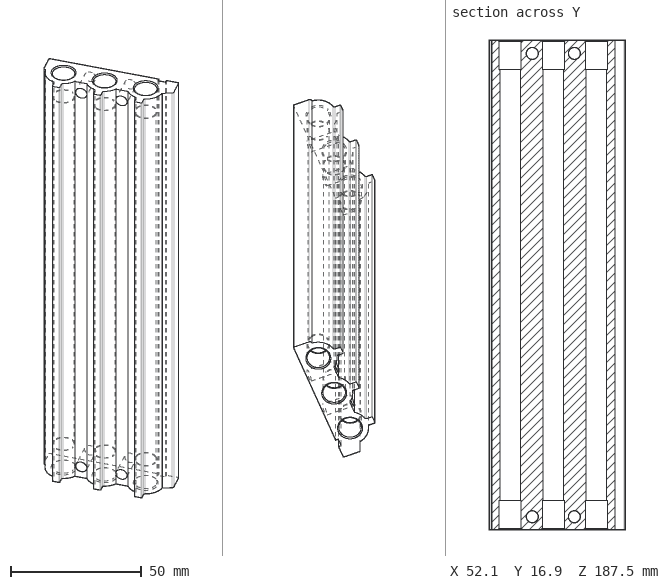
import cadquery as cq

length = 187.5
width = 52.1
depth = 16.9
back_corner_radius = 0.4

tube_count = 3
tube_pitch = 16.5
first_tube_offset = 8.0
tube_axis_depth = 7.1
tube_radius = 7.1
bore_diameter = 8.0
port_diameter = 8.6
port_depth = 11.2
port_chamfer = 0.47

rib_width = 3.0
rib_root_radius = 0.5
rib_tip_radius = 0.28
web_thickness = 11.2

shoulder_thickness = 7.3
shoulder_corner_radius = 0.79

flange_edge_thickness = 7.0
flange_root_thickness = 8.5
flange_corner_radius = 0.79

groove_width = 3.0
groove_depth = 1.1
groove_offset = 5.0

hole_diameter = 4.5
hole_spacing = 16.1
hole_end_distance = 5.0

left = -width / 2
right = width / 2
back = depth / 2
front = -depth / 2
top = length / 2
bottom = -length / 2
tube_y = back - tube_axis_depth
web_y = back - web_thickness
tube_xs = [left + first_tube_offset + i * tube_pitch for i in range(tube_count)]
middle_tube_x = tube_xs[tube_count // 2]


def box_between(x_min, x_max, y_min, y_max):
    """Full-length box between the given X and Y limits."""
    centre = ((x_min + x_max) / 2, (y_min + y_max) / 2, 0)
    return cq.Workplane("XY", origin=centre).box(x_max - x_min, y_max - y_min, length)


def cylinder_along_z(x, diameter, z_start, height):
    """Cylinder on a tube axis."""
    return cq.Workplane("XY", origin=(x, tube_y, z_start)).circle(diameter / 2).extrude(height)


def round_edge(solid, x, y, radius):
    """Fillet the lengthwise edge nearest to the given X and Y."""
    nearest = cq.selectors.NearestToPointSelector((x, y, 0))
    return solid.edges("|Z").edges(nearest).fillet(radius)


def make_plate():
    """Flat-backed plate with the shoulder at its left and the tapered flange at its right."""
    shoulder_y = back - shoulder_thickness
    flange_edge_y = back - flange_edge_thickness
    flange_root_y = back - flange_root_thickness
    plate = (
        cq.Workplane("XY", origin=(0, 0, bottom))
        .moveTo(left, back)
        .lineTo(right, back)
        .lineTo(right, flange_edge_y)
        .lineTo(tube_xs[-1] + tube_radius, flange_root_y)
        .lineTo(tube_xs[-1], flange_root_y)
        .lineTo(tube_xs[-1], web_y)
        .lineTo(tube_xs[0], web_y)
        .lineTo(tube_xs[0], shoulder_y)
        .lineTo(left, shoulder_y)
        .close()
        .extrude(length)
    )
    plate = round_edge(plate, left, back, back_corner_radius)
    plate = round_edge(plate, right, back, back_corner_radius)
    plate = round_edge(plate, left, shoulder_y, shoulder_corner_radius)
    return round_edge(plate, right, flange_edge_y, flange_corner_radius)


def make_tube(x):
    """Solid tube with its rib, blended at the root and rounded at the tip."""
    rib = box_between(x - rib_width / 2, x + rib_width / 2, front, tube_y)
    rib = rib.edges("|Z and <Y").fillet(rib_tip_radius)
    tube = cylinder_along_z(x, 2 * tube_radius, bottom, length).union(rib)
    root_y = tube_y - (tube_radius ** 2 - (rib_width / 2) ** 2) ** 0.5
    for side in (-1, 1):
        tube = round_edge(tube, x + side * rib_width / 2, root_y, rib_root_radius)
    return tube


def make_bore(x):
    """Through bore with a wider, chamfered port at each end."""
    port = cylinder_along_z(x, port_diameter, top - port_depth, port_depth)
    mouth = (
        cq.Workplane("XY", origin=(x, tube_y, top))
        .circle(port_diameter / 2 + port_chamfer)
        .workplane(offset=-port_chamfer)
        .circle(port_diameter / 2)
        .loft()
    )
    top_port = port.union(mouth)
    bottom_port = top_port.mirror("XY")
    return cylinder_along_z(x, bore_diameter, bottom, length).union(top_port).union(bottom_port)


def make_mounting_hole(x, z):
    """Hole through the web along Y."""
    return cq.Workplane("XZ", origin=(x, back, z)).circle(hole_diameter / 2).extrude(depth)


result = make_plate()
for tube_x in tube_xs:
    result = result.union(make_tube(tube_x))
for tube_x in tube_xs:
    result = result.cut(make_bore(tube_x))

groove_right = right - groove_offset
result = result.cut(box_between(groove_right - groove_width, groove_right, back - groove_depth, back))

for side in (-1, 1):
    hole_x = middle_tube_x + side * hole_spacing / 2
    for hole_z in (bottom + hole_end_distance, top - hole_end_distance):
        result = result.cut(make_mounting_hole(hole_x, hole_z))